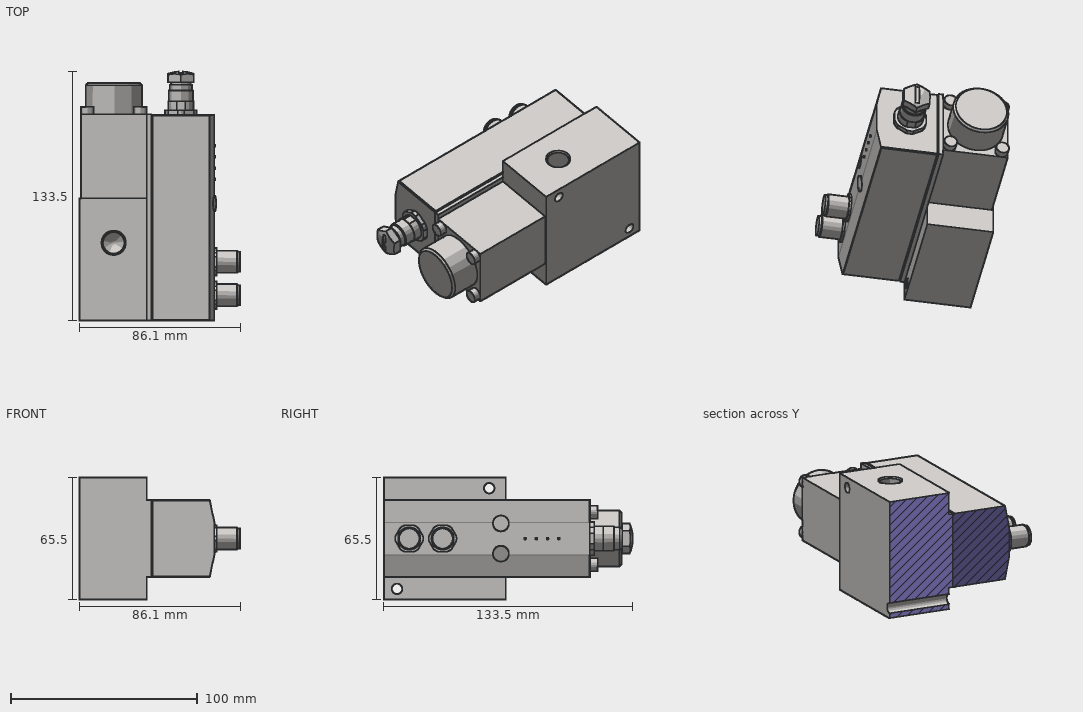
import cadquery as cq
import math


BLOCK_SIZE = 65.5
PLATE_START = 36.0
PLATE_END = 38.5
PLATE_LENGTH = 110.7
PLATE_WIDTH = 41.4
PORT_X = 18.3
PORT_Y = 41.7
PORT_DIAMETER = 11.5
PORT_MOUTH_DIAMETER = 13.1
PORT_DEPTH = 13.4
DRILL_POINT_ANGLE = 118.0
BOLT_HOLE_DIAMETER = 5.5
BOLT_HOLE_LOW_Y = 7.1
BOLT_HOLE_HIGH_Y = 56.5
BOLT_HOLE_Z = 27.0

SOLENOID_WIDTH = 35.3
SOLENOID_X = PLATE_START - SOLENOID_WIDTH / 2
CAP_DIAMETER = 30.2
CAP_TOP = 127.4
CAP_CHAMFER = 1.2
SCREW_HEAD_DIAMETER = 7.0
SCREW_HEAD_HEIGHT = 3.9
SCREW_SPACING = SOLENOID_WIDTH - SCREW_HEAD_DIAMETER

COVER_LENGTH = 110.3
COVER_NECK_END = 39.3
COVER_NECK_DEPTH = 0.1
COVER_SHOULDER = 69.8
COVER_FRONT = 72.3
COVER_FRONT_WIDTH = 17.4
COVER_CHAMFER = 0.5
SHOULDER_CHAMFER = 0.3
BUTTON_DIAMETER = 8.5
BUTTON_HEIGHT = 0.1
BUTTON_ROOT = 2.7
BUTTON_Y = 62.8
BUTTON_Z = 8.1
LED_DIAMETER = 1.1
LED_HEIGHT = 0.5
LED_COUNT = 4
LED_FIRST_Y = 75.7
LED_PITCH = 6.0

GLAND_X = 54.4
GLAND_FLANGE_FLATS = 17.1
GLAND_FLANGE_DIAMETER = 18.0
GLAND_FLANGE_TOP = 112.8
GLAND_WRENCH_DIAMETER = 13.8
GLAND_WRENCH_FLATS = 13.0
GLAND_WRENCH_TOP = 117.5
GLAND_BODY_DIAMETER = 13.2
GLAND_BODY_TOP = 123.5
GLAND_BODY_CHAMFER = 0.4
GLAND_COLLAR_DIAMETER = 12.0
GLAND_COLLAR_TOP = 126.5
GLAND_NECK_DIAMETER = 10.8
GLAND_NUT_BOTTOM = 127.7
GLAND_NUT_FLATS = 14.0
GLAND_TOP = 133.5
GLAND_DOME_RADIUS = 18.7
GLAND_SLOT_WIDTH = 2.1
GLAND_SLOT_DEPTH = 0.8

CONNECTOR_YS = (13.6, 31.5)
CONNECTOR_FLANGE_FLATS = 14.0
CONNECTOR_FLANGE_DIAMETER = 15.0
CONNECTOR_FLANGE_END = 73.5
CONNECTOR_DIAMETER = 12.0
CONNECTOR_SHOULDER = 84.8
CONNECTOR_CHAMFER = 0.4
CONNECTOR_TIP_DIAMETER = 10.8
CONNECTOR_TIP = 86.1


def box(x_range, y_range, width):
    """Box between two X and two Y values, centred on Z = 0."""
    length_x = x_range[1] - x_range[0]
    length_y = y_range[1] - y_range[0]
    return (
        cq.Workplane("XY")
        .box(length_x, length_y, width, centered=(False, False, True))
        .translate((x_range[0], y_range[0], 0))
    )


def rod_along_y(x, z, diameter, start, end):
    """Cylinder parallel to Y."""
    plane = cq.Plane(origin=(x, start, z), xDir=(0, 0, 1), normal=(0, 1, 0))
    return cq.Workplane(plane).circle(diameter / 2).extrude(end - start)


def rod_along_x(y, z, diameter, start, end):
    """Cylinder parallel to X."""
    plane = cq.Plane(origin=(start, y, z), xDir=(0, 1, 0), normal=(1, 0, 0))
    return cq.Workplane(plane).circle(diameter / 2).extrude(end - start)


def hexagon(plane, flats, height):
    """Hexagonal prism with a corner on the X axis of its plane."""
    corner_diameter = flats / math.cos(math.pi / 6)
    return cq.Workplane(plane).polygon(6, corner_diameter).extrude(height)


def port_cutter():
    """Drilled port with a conical bottom and a countersunk mouth, sunk into the +Z side of the block."""
    radius = PORT_DIAMETER / 2
    mouth_radius = PORT_MOUTH_DIAMETER / 2
    surface = BLOCK_SIZE / 2
    floor = surface - PORT_DEPTH
    point_depth = radius / math.tan(math.radians(DRILL_POINT_ANGLE / 2))
    return (
        cq.Workplane("XZ")
        .moveTo(0, floor - point_depth)
        .lineTo(radius, floor)
        .lineTo(radius, surface - (mouth_radius - radius))
        .lineTo(mouth_radius, surface)
        .lineTo(0, surface)
        .close()
        .revolve(360, (0, 0, 0), (0, 1, 0))
        .translate((PORT_X, PORT_Y, 0))
    )


def make_valve_block():
    block = box((0, PLATE_START), (0, BLOCK_SIZE), BLOCK_SIZE)
    plate = box((PLATE_START, PLATE_END), (0, PLATE_LENGTH), PLATE_WIDTH)
    block = block.union(plate).cut(port_cutter())
    for y, z in ((BOLT_HOLE_LOW_Y, -BOLT_HOLE_Z), (BOLT_HOLE_HIGH_Y, BOLT_HOLE_Z)):
        block = block.cut(rod_along_x(y, z, BOLT_HOLE_DIAMETER, 0, PLATE_START))
    return block


def make_solenoid():
    back = PLATE_START - SOLENOID_WIDTH
    solenoid = box((back, PLATE_START), (BLOCK_SIZE, PLATE_LENGTH), SOLENOID_WIDTH)
    cap = rod_along_y(SOLENOID_X, 0, CAP_DIAMETER, PLATE_LENGTH, CAP_TOP)
    solenoid = solenoid.union(cap.faces(">Y").chamfer(CAP_CHAMFER))
    for side_x in (-1, 1):
        for side_z in (-1, 1):
            x = SOLENOID_X + side_x * SCREW_SPACING / 2
            z = side_z * SCREW_SPACING / 2
            head_top = PLATE_LENGTH + SCREW_HEAD_HEIGHT
            solenoid = solenoid.union(rod_along_y(x, z, SCREW_HEAD_DIAMETER, PLATE_LENGTH, head_top))
    return solenoid


def cover_button(side):
    """Shallow round button parallel to the sloped front face on one side (+1 or -1) of the cover."""
    rise = COVER_FRONT - COVER_SHOULDER
    run = (PLATE_WIDTH - COVER_FRONT_WIDTH) / 2
    surface_x = COVER_SHOULDER + rise * (PLATE_WIDTH / 2 - BUTTON_Z) / run
    plane = cq.Plane(
        origin=(surface_x, BUTTON_Y, side * BUTTON_Z), xDir=(0, 1, 0), normal=(run, 0, side * rise)
    )
    button = cq.Workplane(plane).workplane(offset=-BUTTON_ROOT).circle(BUTTON_DIAMETER / 2)
    return button.extrude(BUTTON_ROOT + BUTTON_HEIGHT)


def make_cover():
    half_width = PLATE_WIDTH / 2
    half_front = COVER_FRONT_WIDTH / 2
    cover = (
        cq.Workplane("XZ")
        .moveTo(COVER_NECK_END, -half_width)
        .lineTo(COVER_SHOULDER, -half_width)
        .lineTo(COVER_FRONT, -half_front)
        .lineTo(COVER_FRONT, half_front)
        .lineTo(COVER_SHOULDER, half_width)
        .lineTo(COVER_NECK_END, half_width)
        .close()
        .extrude(-COVER_LENGTH)
    )
    cover = cover.faces("<Z or >Z").edges("|X").chamfer(COVER_CHAMFER)
    cover = cover.faces("<Z or >Z").edges("|Y").edges(">X").chamfer(SHOULDER_CHAMFER)
    neck = box(
        (PLATE_END, COVER_NECK_END),
        (COVER_NECK_DEPTH, COVER_LENGTH - COVER_NECK_DEPTH),
        PLATE_WIDTH - 2 * COVER_NECK_DEPTH,
    )
    cover = cover.union(neck.edges("|X").chamfer(COVER_CHAMFER))
    for side in (-1, 1):
        cover = cover.union(cover_button(side))
    for index in range(LED_COUNT):
        y = LED_FIRST_Y + index * LED_PITCH
        cover = cover.union(rod_along_x(y, 0, LED_DIAMETER, COVER_FRONT, COVER_FRONT + LED_HEIGHT))
    return cover


def gland_hexagon(flats, start, end):
    plane = cq.Plane(origin=(GLAND_X, start, 0), xDir=(0, 0, 1), normal=(0, 1, 0))
    return hexagon(plane, flats, end - start)


def make_cable_gland():
    flange = gland_hexagon(GLAND_FLANGE_FLATS, COVER_LENGTH, GLAND_FLANGE_TOP)
    gland = flange.intersect(rod_along_y(GLAND_X, 0, GLAND_FLANGE_DIAMETER, COVER_LENGTH, GLAND_FLANGE_TOP))

    wrench_section = rod_along_y(GLAND_X, 0, GLAND_WRENCH_DIAMETER, GLAND_FLANGE_TOP, GLAND_WRENCH_TOP)
    radius = GLAND_WRENCH_DIAMETER / 2
    flats = box(
        (GLAND_X - radius, GLAND_X + radius), (GLAND_FLANGE_TOP, GLAND_WRENCH_TOP), GLAND_WRENCH_FLATS
    )
    gland = gland.union(wrench_section.intersect(flats))

    body = rod_along_y(GLAND_X, 0, GLAND_BODY_DIAMETER, GLAND_WRENCH_TOP, GLAND_BODY_TOP)
    gland = gland.union(body.faces(">Y").chamfer(GLAND_BODY_CHAMFER))
    gland = gland.union(rod_along_y(GLAND_X, 0, GLAND_COLLAR_DIAMETER, GLAND_BODY_TOP, GLAND_COLLAR_TOP))
    gland = gland.union(rod_along_y(GLAND_X, 0, GLAND_NECK_DIAMETER, GLAND_COLLAR_TOP, GLAND_NUT_BOTTOM))
    return gland.union(make_gland_nut())


def make_gland_nut():
    """Hexagonal nut with a domed, slotted end."""
    dome_centre_y = GLAND_TOP - math.sqrt(GLAND_DOME_RADIUS**2 - (GLAND_SLOT_WIDTH / 2) ** 2)
    dome_top = dome_centre_y + GLAND_DOME_RADIUS
    nut = gland_hexagon(GLAND_NUT_FLATS, GLAND_NUT_BOTTOM, dome_top)
    dome = cq.Workplane("XY").sphere(GLAND_DOME_RADIUS)
    nut = nut.intersect(dome.translate((GLAND_X, dome_centre_y, 0)))
    slot = box(
        (GLAND_X - GLAND_SLOT_WIDTH / 2, GLAND_X + GLAND_SLOT_WIDTH / 2),
        (GLAND_TOP - GLAND_SLOT_DEPTH, dome_top),
        2 * GLAND_NUT_FLATS,
    )
    return nut.cut(slot)


def make_connector(y):
    flange_height = CONNECTOR_FLANGE_END - COVER_FRONT
    plane = cq.Plane(origin=(COVER_FRONT, y, 0), xDir=(0, 1, 0), normal=(1, 0, 0))
    flange = hexagon(plane, CONNECTOR_FLANGE_FLATS, flange_height)
    connector = flange.intersect(
        rod_along_x(y, 0, CONNECTOR_FLANGE_DIAMETER, COVER_FRONT, CONNECTOR_FLANGE_END)
    )
    barrel = rod_along_x(y, 0, CONNECTOR_DIAMETER, CONNECTOR_FLANGE_END, CONNECTOR_SHOULDER)
    connector = connector.union(barrel.faces(">X").chamfer(CONNECTOR_CHAMFER))
    return connector.union(rod_along_x(y, 0, CONNECTOR_TIP_DIAMETER, CONNECTOR_SHOULDER, CONNECTOR_TIP))


valve_block = make_valve_block()
solenoid = make_solenoid()
cover = make_cover()
cable_gland = make_cable_gland()
connectors = [make_connector(y) for y in CONNECTOR_YS]

result = cq.Compound.makeCompound(
    [
        valve_block.val(),
        solenoid.val(),
        cover.val(),
        cable_gland.val(),
        *[connector.val() for connector in connectors],
    ]
)